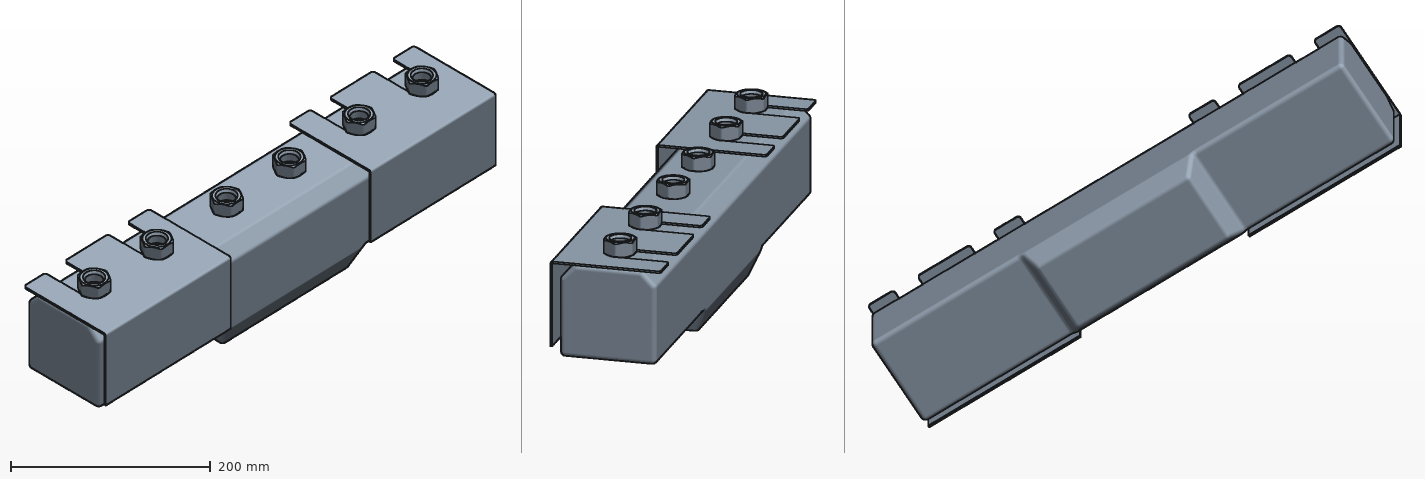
import cadquery as cq
import math

LENGTH = 560.0
HOUSING_WIDTH = 100.0
HOUSING_TOP = 125.0
BEVEL = 15.0
EDGE_RADIUS = 5.0

PAD_HEIGHT = 27.0
PAD_LENGTH = 204.0
PAD_TAPER = 23.0

BRACKET_LENGTH = 180.0
BRACKET_LEFT = -55.0
BRACKET_RIGHT = 60.0
BRACKET_HEIGHT = 89.5
SHEET = 2.0
BEND_RADIUS = 3.0
TAB_RADIUS = 3.5
SLOT_WIDTH = 28.0

NUT_PITCH = 90.0
NUT_ACROSS_FLATS = 30.0
NUT_HEIGHT = 15.9
NUT_CORNER_RADIUS = 3.0
NUT_BORE = 18.5
MOUTH_DIAMETER = 22.5
MOUTH_DEPTH = 3.5
NUT_FACE_DIAMETER = 29.0
NUT_CHAMFER_ANGLE = 30.0

BRACKET_TOP = HOUSING_TOP + SHEET
BRACKET_CENTRE = (LENGTH - BRACKET_LENGTH) / 2


def mirrored(half_outline):
    """Close a right-hand half outline with its mirror image on the left."""
    return half_outline + [(-across, up) for across, up in reversed(half_outline)]


def make_housing():
    half_width = HOUSING_WIDTH / 2
    half_length = LENGTH / 2
    half_pad = PAD_LENGTH / 2
    pad_inset = PAD_HEIGHT * math.tan(math.radians(PAD_TAPER))
    cross_section = mirrored([
        (half_width - pad_inset, 0),
        (half_width, PAD_HEIGHT),
        (half_width, HOUSING_TOP - BEVEL),
        (half_width - BEVEL, HOUSING_TOP),
    ])
    side_profile = mirrored([
        (half_pad - pad_inset, 0),
        (half_pad, PAD_HEIGHT),
        (half_length, PAD_HEIGHT),
        (half_length, HOUSING_TOP),
    ])
    along_y = cq.Workplane("XZ").polyline(cross_section).close().extrude(half_length, both=True)
    along_x = cq.Workplane("YZ").polyline(side_profile).close().extrude(half_width, both=True)
    return along_y.intersect(along_x).edges().fillet(EDGE_RADIUS)


def make_bracket(y_centre):
    outline = (
        cq.Workplane("XZ", origin=(0, BRACKET_LENGTH / 2, 0))
        .moveTo(BRACKET_LEFT, HOUSING_TOP)
        .lineTo(BRACKET_LEFT, BRACKET_TOP)
        .lineTo(BRACKET_RIGHT, BRACKET_TOP)
        .lineTo(BRACKET_RIGHT, BRACKET_TOP - BRACKET_HEIGHT)
        .lineTo(BRACKET_RIGHT - SHEET, BRACKET_TOP - BRACKET_HEIGHT)
        .lineTo(BRACKET_RIGHT - SHEET, HOUSING_TOP)
        .close()
    )
    bracket = outline.extrude(BRACKET_LENGTH).edges(">X and >Z").fillet(BEND_RADIUS)
    for side in (-1, 1):
        y_slot = side * NUT_PITCH / 2
        slot = (
            cq.Workplane("XY", origin=(0, y_slot, HOUSING_TOP))
            .moveTo(BRACKET_LEFT, -SLOT_WIDTH / 2)
            .lineTo(0, -SLOT_WIDTH / 2)
            .threePointArc((SLOT_WIDTH / 2, 0), (0, SLOT_WIDTH / 2))
            .lineTo(BRACKET_LEFT, SLOT_WIDTH / 2)
            .close()
            .extrude(SHEET)
        )
        bracket = bracket.cut(slot)
    bracket = bracket.faces("<X").edges("|Z").fillet(TAB_RADIUS)
    return bracket.translate((0, y_centre, 0))


def make_nut(y_centre):
    across_corners = NUT_ACROSS_FLATS / math.cos(math.pi / 6)
    corner_radius = across_corners / 2
    face_radius = NUT_FACE_DIAMETER / 2
    bore_radius = NUT_BORE / 2
    mouth_radius = MOUTH_DIAMETER / 2
    drop = (corner_radius - face_radius) * math.tan(math.radians(NUT_CHAMFER_ANGLE))
    hexagon = (
        cq.Workplane("XY")
        .polygon(6, across_corners)
        .extrude(NUT_HEIGHT)
        .rotate((0, 0, 0), (0, 0, 1), 30)
        .edges("|Z").fillet(NUT_CORNER_RADIUS)
    )
    blank = (
        cq.Workplane("XZ")
        .lineTo(face_radius, 0)
        .lineTo(corner_radius, drop)
        .lineTo(corner_radius, NUT_HEIGHT - drop)
        .lineTo(face_radius, NUT_HEIGHT)
        .lineTo(0, NUT_HEIGHT)
        .close()
        .revolve(360, (0, 0), (0, 1))
    )
    bore = (
        cq.Workplane("XZ")
        .lineTo(mouth_radius, 0)
        .lineTo(bore_radius, MOUTH_DEPTH)
        .lineTo(bore_radius, NUT_HEIGHT - MOUTH_DEPTH)
        .lineTo(mouth_radius, NUT_HEIGHT)
        .lineTo(0, NUT_HEIGHT)
        .close()
        .revolve(360, (0, 0), (0, 1))
    )
    nut = hexagon.intersect(blank).cut(bore)
    return nut.translate((0, y_centre, BRACKET_TOP))


housing = make_housing()
brackets = [make_bracket(y) for y in (-BRACKET_CENTRE, BRACKET_CENTRE)]
nuts = [
    make_nut(y_pair + side * NUT_PITCH / 2)
    for y_pair in (-BRACKET_CENTRE, 0, BRACKET_CENTRE)
    for side in (-1, 1)
]

result = cq.Compound.makeCompound([body.val() for body in [housing, *brackets, *nuts]])